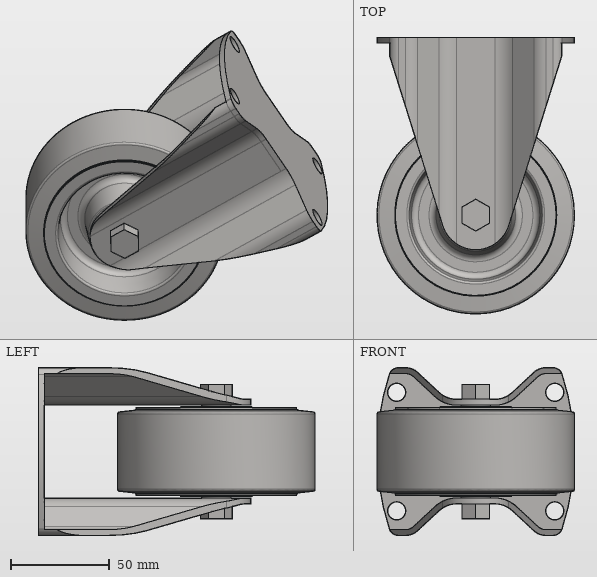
import cadquery as cq
import math


PLATE_BACK_Y = 90.0
PLATE_THICKNESS = 3.0
PLATE_LENGTH = 100.0
PLATE_WIDTH = 85.0
PLATE_SIDE_RADIUS = 125.0
PLATE_CORNER_RADIUS = 5.0
MOUNT_HOLE_DIAMETER = 9.0
MOUNT_HOLE_SPACING_X = 80.0
MOUNT_HOLE_SPACING_Z = 60.0

SHEET = 3.0
LEG_INNER_Z = 23.5
LEG_OUTER_Z = LEG_INNER_Z + SHEET
UPPER_BEND_X = 32.0
LOWER_BEND_X = 14.8
UPPER_BEND_RADIUS = 9.0
LOWER_BEND_RADIUS = 13.0
LEG_TIP_RADIUS = 17.5
TAPER_ANGLE = 17.4

TREAD_RADIUS = 50.0
TREAD_FILLET = 1.1
TREAD_EDGE_Z = 20.0
TREAD_INNER_Z = 21.0
RIM_RADIUS = 81.25 / 2
RIM_FACE_Z = 22.25
RIM_LEDGE_RADIUS = RIM_RADIUS + 0.4
RIM_LEDGE_Z = 21.4
RIM_BORE_RADIUS = 33.8
RIM_BORE_FILLET = 1.2
RIM_WALL_RADIUS = 32.2
WEB_Z = 1.8
WEB_FILLET = 3.5
HUB_TOP_RADIUS = 18.2
HUB_TOP_FILLET = 0.6
HUB_BASE_RADIUS = 20.5
HUB_FACE_Z = 22.75

AXLE_DIAMETER = 15.0
HEX_ACROSS_FLATS = 14.0
HEX_END_Z = 34.0


def both_sides(upper):
    """The solid joined with its mirror image across the wheel's middle plane."""
    return upper.union(upper.mirror("XY"))


def plate_outline():
    """Plate outline in XZ: bowed short sides, straight long sides, rounded corners."""
    half_width = PLATE_WIDTH / 2
    half_length = PLATE_LENGTH / 2
    side_drop = PLATE_SIDE_RADIUS - math.sqrt(PLATE_SIDE_RADIUS**2 - half_width**2)
    corner_x = half_length - side_drop
    return (
        cq.Workplane("XZ", origin=(0, PLATE_BACK_Y, 0))
        .moveTo(-corner_x, half_width)
        .lineTo(corner_x, half_width)
        .threePointArc((half_length, 0), (corner_x, -half_width))
        .lineTo(-corner_x, -half_width)
        .threePointArc((-half_length, 0), (-corner_x, half_width))
        .close()
    )


def plate_prism(depth):
    return plate_outline().extrude(depth).edges("|Y").fillet(PLATE_CORNER_RADIUS)


def below_bends(depth, offset):
    """Solid under the bent sheet surface lying `offset` inside the outer surface."""
    half_width = PLATE_WIDTH / 2
    slope = math.atan2(half_width - LEG_OUTER_Z, UPPER_BEND_X - LOWER_BEND_X)
    shift = offset * math.tan(slope / 2)
    upper = (UPPER_BEND_X + shift, half_width - offset)
    lower = (LOWER_BEND_X + shift, LEG_OUTER_Z - offset)
    far_x = PLATE_LENGTH
    solid = (
        cq.Workplane("XZ", origin=(0, PLATE_BACK_Y, 0))
        .polyline([
            (-far_x, 0),
            (-far_x, upper[1]),
            (-upper[0], upper[1]),
            (-lower[0], lower[1]),
            lower,
            upper,
            (far_x, upper[1]),
            (far_x, 0),
        ])
        .close()
        .extrude(depth)
    )

    def bend_edges(x, z):
        mid_y = PLATE_BACK_Y - depth / 2
        left = cq.selectors.NearestToPointSelector((-x, mid_y, z))
        right = cq.selectors.NearestToPointSelector((x, mid_y, z))
        return left + right

    solid = solid.edges(bend_edges(*upper)).fillet(UPPER_BEND_RADIUS - offset)
    return solid.edges(bend_edges(*lower)).fillet(LOWER_BEND_RADIUS + offset)


def mounting_plate():
    """Flat plate whose long sides follow the bent outer surface of the legs."""
    bent_half = below_bends(PLATE_THICKNESS, 0)
    return plate_prism(PLATE_THICKNESS).intersect(both_sides(bent_half))


def mount_holes():
    return (
        cq.Workplane("XZ", origin=(0, PLATE_BACK_Y, 0))
        .rect(MOUNT_HOLE_SPACING_X, MOUNT_HOLE_SPACING_Z, forConstruction=True)
        .vertices()
        .circle(MOUNT_HOLE_DIAMETER / 2)
        .extrude(PLATE_THICKNESS)
    )


def leg_plan():
    """Plan of a leg: tapering straight sides tangent to a round tip about the wheel axis."""
    angle = math.radians(TAPER_ANGLE)
    tangent_x = LEG_TIP_RADIUS * math.cos(angle)
    tangent_y = -LEG_TIP_RADIUS * math.sin(angle)
    wide_x = tangent_x + (PLATE_BACK_Y - tangent_y) * math.tan(angle)
    return (
        cq.Workplane("XY")
        .moveTo(-wide_x, PLATE_BACK_Y)
        .lineTo(-tangent_x, tangent_y)
        .threePointArc((0, -LEG_TIP_RADIUS), (tangent_x, tangent_y))
        .lineTo(wide_x, PLATE_BACK_Y)
        .close()
        .extrude(PLATE_WIDTH)
    )


def fork_leg():
    depth = PLATE_BACK_Y + LEG_TIP_RADIUS
    sheet = below_bends(depth, 0).cut(below_bends(depth, SHEET))
    return sheet.intersect(plate_prism(depth)).intersect(leg_plan())


def ring_edge(solid, radius, z):
    """Circular edge of the given radius about the wheel axis at height z."""
    tolerance = 0.01

    def matches(edge):
        if edge.geomType() != "CIRCLE":
            return False
        return abs(edge.radius() - radius) < tolerance and abs(edge.Center().z - z) < tolerance

    return solid.edges().filter(matches)


def wheel():
    upper_profile = [
        (TREAD_RADIUS, TREAD_EDGE_Z),
        (RIM_LEDGE_RADIUS, TREAD_INNER_Z),
        (RIM_LEDGE_RADIUS, RIM_LEDGE_Z),
        (RIM_RADIUS, RIM_LEDGE_Z),
        (RIM_RADIUS, RIM_FACE_Z),
        (RIM_BORE_RADIUS, RIM_FACE_Z),
        (RIM_WALL_RADIUS, WEB_Z),
        (HUB_BASE_RADIUS, WEB_Z),
        (HUB_TOP_RADIUS, HUB_FACE_Z),
        (0, HUB_FACE_Z),
    ]
    lower_profile = [(radius, -z) for radius, z in reversed(upper_profile)]
    body = (
        cq.Workplane("XZ")
        .polyline(upper_profile + lower_profile)
        .close()
        .revolve(360, (0, 0, 0), (0, 1, 0))
    )
    for side in (-1, 1):
        body = ring_edge(body, TREAD_RADIUS, side * TREAD_EDGE_Z).fillet(TREAD_FILLET)
        body = ring_edge(body, RIM_BORE_RADIUS, side * RIM_FACE_Z).fillet(RIM_BORE_FILLET)
        body = ring_edge(body, RIM_WALL_RADIUS, side * WEB_Z).fillet(WEB_FILLET)
        body = ring_edge(body, HUB_BASE_RADIUS, side * WEB_Z).fillet(WEB_FILLET)
        body = ring_edge(body, HUB_TOP_RADIUS, side * HUB_FACE_Z).fillet(HUB_TOP_FILLET)
    return body


def axle_bolt():
    """Axle through hub and legs, with a hexagon on each outer leg face, points along Y."""
    hex_across_corners = HEX_ACROSS_FLATS / math.cos(math.pi / 6)
    axle = cq.Workplane("XY").circle(AXLE_DIAMETER / 2).extrude(LEG_INNER_Z + SHEET / 2)
    head = (
        cq.Workplane("XY")
        .workplane(offset=LEG_INNER_Z)
        .transformed(rotate=(0, 0, 90))
        .polygon(6, hex_across_corners)
        .extrude(HEX_END_Z - LEG_INNER_Z)
    )
    return both_sides(axle.union(head))


fork = both_sides(fork_leg()).union(mounting_plate()).cut(mount_holes())
result = fork.union(wheel()).union(axle_bolt())